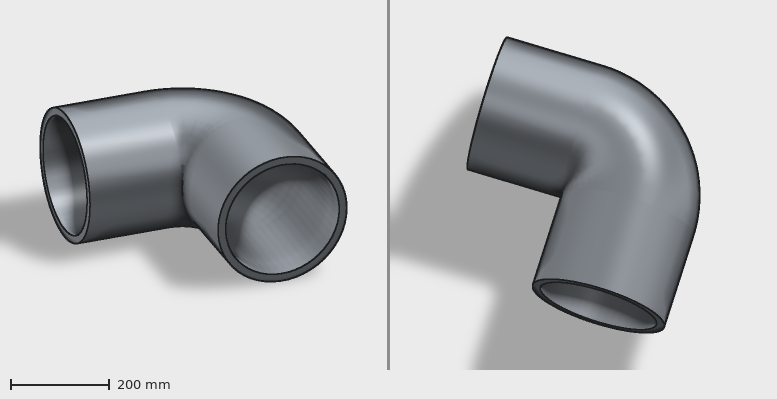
import cadquery as cq

overall_length = 480.0
outer_diameter = 280.0
bore_diameter = 246.5

bend_radius = outer_diameter / 2
bend_angle = 90
leg_length = overall_length - bend_radius - outer_diameter / 2


def pipe_section(plane, center_offset, diameter):
    """Round cross-section, offset from the bend axis (Z)."""
    return cq.Workplane(plane).center(center_offset, 0).circle(diameter / 2)


def front_leg(diameter):
    """Straight solid leg running toward -Y."""
    return pipe_section("XZ", -bend_radius, diameter).extrude(leg_length)


def side_leg(diameter):
    """Straight solid leg running toward +X."""
    return pipe_section("YZ", bend_radius, diameter).extrude(leg_length)


def bend(diameter):
    """Solid quarter turn about Z joining the two legs."""
    section = pipe_section("XZ", -bend_radius, diameter)
    return section.revolve(bend_angle, (bend_radius, 0), (bend_radius, -1))


result = bend(outer_diameter).union(front_leg(outer_diameter)).union(side_leg(outer_diameter))

for stretch in (front_leg, side_leg, bend):
    result = result.cut(stretch(bore_diameter))